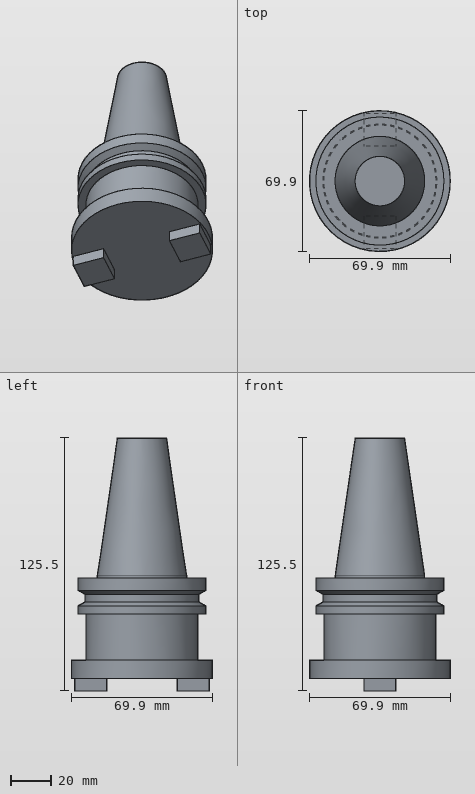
import cadquery as cq
import math

gauge_radius = 44.45 / 2
taper_length = 68.25
taper_on_diameter = 7 / 24
tip_radius = gauge_radius - taper_length * taper_on_diameter / 2

flange_radius = 63.5 / 2
flange_top = -1.0
flange_bottom = -19.05

groove_radius = 56.6 / 2
groove_center = -11.1
groove_floor_width = 3.75
groove_flank_angle = 30
flank_height = (flange_radius - groove_radius) * math.tan(math.radians(groove_flank_angle))
groove_floor_top = groove_center + groove_floor_width / 2
groove_floor_bottom = groove_center - groove_floor_width / 2

body_radius = 55.6 / 2
plate_radius = 69.9 / 2
plate_thickness = 9.1
plate_bottom = -50.95
plate_top = plate_bottom + plate_thickness

key_width = 15.875
key_length = 16.0
key_height = 6.25
key_outer_reach = 33.4


def make_turned_body():
    """Shank, flange, body and plate as one half profile turned about Z."""
    profile = [
        (0, taper_length),
        (tip_radius, taper_length),
        (gauge_radius, 0),
        (gauge_radius, flange_top),
        (flange_radius, flange_top),
        (flange_radius, groove_floor_top + flank_height),
        (groove_radius, groove_floor_top),
        (groove_radius, groove_floor_bottom),
        (flange_radius, groove_floor_bottom - flank_height),
        (flange_radius, flange_bottom),
        (body_radius, flange_bottom),
        (body_radius, plate_top),
        (plate_radius, plate_top),
        (plate_radius, plate_bottom),
        (0, plate_bottom),
    ]
    return cq.Workplane("XZ").polyline(profile).close().revolve(360, (0, 0, 0), (0, 1, 0))


def make_drive_keys():
    """Two rectangular keys, one on each Y side of the plate's lower face."""
    key_center = key_outer_reach - key_length / 2
    return (
        cq.Workplane("XY", origin=(0, 0, plate_bottom))
        .pushPoints([(0, side * key_center) for side in (-1, 1)])
        .rect(key_width, key_length)
        .extrude(-key_height)
    )


result = make_turned_body().union(make_drive_keys())